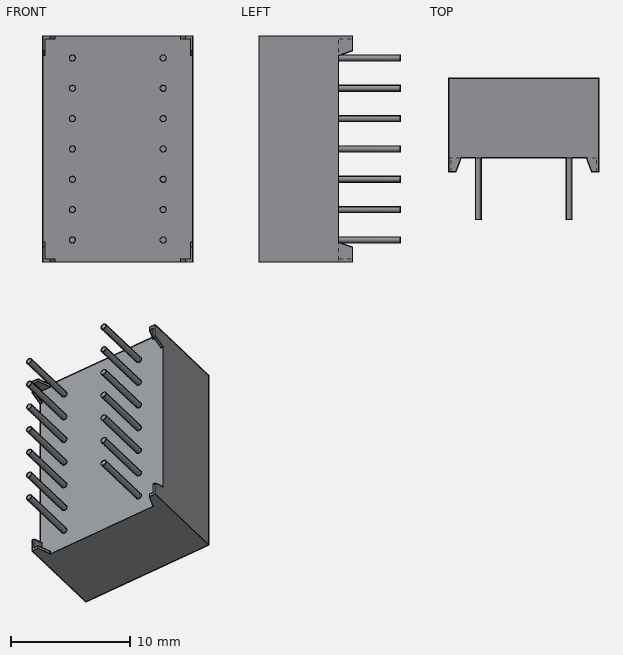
import cadquery as cq

width = 12.6
total_depth = 11.88
height = 19.0
case_depth = 6.69

foot_height = 1.18
end_wall_thickness = 0.28
end_foot_base = 1.05
end_foot_tip = 0.6
side_wall_thickness = 0.2
side_foot_base = 1.67
side_foot_tip = 1.25

pin_diameter = 0.51
pin_pitch = 2.55
pins_per_row = 7
row_spacing = 7.62

back_y = total_depth / 2
pin_tip_y = -total_depth / 2
pin_face_y = back_y - case_depth
foot_tip_y = pin_face_y - foot_height


def make_case():
    case_centre_y = back_y - case_depth / 2
    return cq.Workplane("XY").box(width, case_depth, height).translate((0, case_centre_y, 0))


def foot_outline(plane, outer_edge, base, tip):
    """Tapered foot, drawn from the case's outer edge inwards, with its root on the pin face."""
    return (
        cq.Workplane(plane)
        .moveTo(outer_edge, pin_face_y)
        .lineTo(outer_edge, foot_tip_y)
        .lineTo(outer_edge + tip, foot_tip_y)
        .lineTo(outer_edge + base, pin_face_y)
        .close()
    )


def make_corner_foot():
    """L-shaped foot at the -X, -Z corner."""
    end_foot = (
        foot_outline("XY", -width / 2, end_foot_base, end_foot_tip)
        .extrude(end_wall_thickness)
        .translate((0, 0, -height / 2))
    )
    side_plane = cq.Plane(origin=(-width / 2, 0, 0), xDir=(0, 0, 1), normal=(-1, 0, 0))
    side_outline = foot_outline(side_plane, -height / 2, side_foot_base, side_foot_tip)
    side_foot = side_outline.extrude(-side_wall_thickness)
    return end_foot.union(side_foot)


def make_pins():
    return (
        cq.Workplane("XZ", origin=(0, pin_face_y, 0))
        .rarray(row_spacing, pin_pitch, 2, pins_per_row)
        .circle(pin_diameter / 2)
        .extrude(pin_face_y - pin_tip_y)
    )


left_bottom_foot = make_corner_foot()
bottom_feet = left_bottom_foot.union(left_bottom_foot.mirror("YZ"))
feet = bottom_feet.union(bottom_feet.mirror("XY"))

result = make_case().union(feet).union(make_pins())